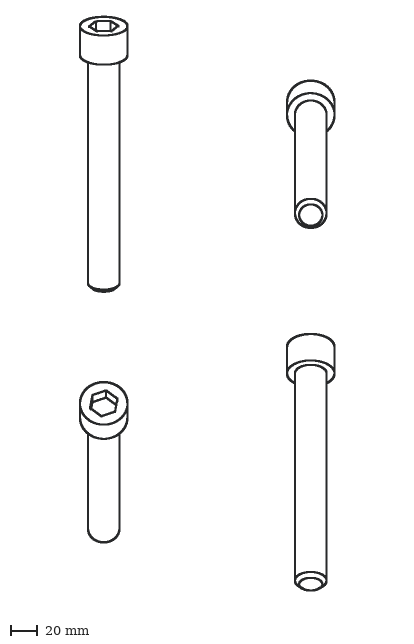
import cadquery as cq
import math

total_length = 214.0
shank_diameter = 24.0
head_diameter = 1.5 * shank_diameter
head_height = shank_diameter
thread_length = 60.0
tip_chamfer = 3.2
socket_across_flats = 19.0
socket_depth = head_height / 2

head_base = total_length - head_height


def cylinder(diameter, bottom, top):
    return cq.Workplane("XY").workplane(offset=bottom).circle(diameter / 2).extrude(top - bottom)


threaded_end = cylinder(shank_diameter, 0, thread_length).faces("<Z").chamfer(tip_chamfer)

shank = cylinder(shank_diameter, thread_length, head_base)
head = cylinder(head_diameter, head_base, total_length)

socket_across_corners = socket_across_flats / math.cos(math.pi / 6)
socket = (
    cq.Workplane("XY")
    .workplane(offset=total_length - socket_depth)
    .polygon(6, socket_across_corners)
    .extrude(socket_depth)
)

result = threaded_end.union(shank).union(head).cut(socket)